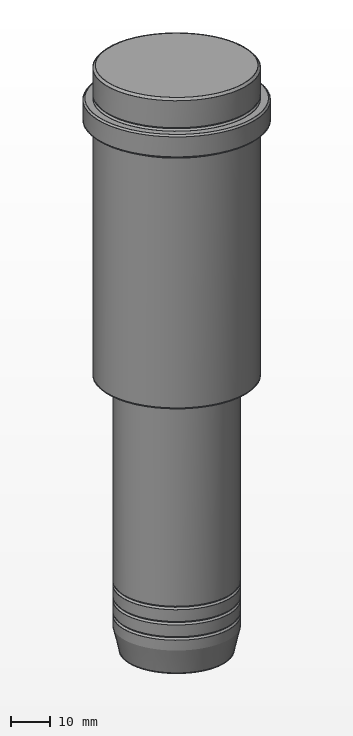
import cadquery as cq

total_length = 160.0
edge_break = 0.5
top_chamfer = 0.6
tip_chamfer = 0.3

collar_diameter = 47.0
body_diameter = 42.0
pin_diameter = 32.0
tip_diameter = 28.8

body_bottom = 75.0
collar_bottom = 144.6
collar_top = 151.0
nose_height = 7.0

relief_width = 1.0
relief_depth = 0.5
tip_groove_half_width = 0.5
tip_groove_heights = (10.4, 14.5, 18.7)


def cylinder(diameter, bottom, top):
    return cq.Workplane("XY").workplane(offset=bottom).circle(diameter / 2).extrude(top - bottom)


def ring_groove(diameter, depth, bottom, width):
    """Ring that cuts a square groove into a cylinder of the given diameter."""
    return cylinder(diameter, bottom, bottom + width).cut(
        cylinder(diameter - 2 * depth, bottom, bottom + width)
    )


def vee_groove(diameter, half_width, height):
    """Ring that cuts a 90 degree V groove into a cylinder of the given diameter."""
    radius = diameter / 2
    return (
        cq.Workplane("XZ")
        .moveTo(radius, height - half_width)
        .lineTo(radius + half_width, height)
        .lineTo(radius, height + half_width)
        .lineTo(radius - half_width, height)
        .close()
        .revolve(360, (0, 0, 0), (0, 1, 0))
    )


def make_pin():
    """Pin with a conical nose and a small chamfer at its end."""
    pin_radius = pin_diameter / 2
    tip_radius = tip_diameter / 2
    pin = (
        cq.Workplane("XZ")
        .lineTo(tip_radius - tip_chamfer, 0)
        .lineTo(tip_radius, tip_chamfer)
        .lineTo(pin_radius, nose_height)
        .lineTo(pin_radius, body_bottom)
        .lineTo(0, body_bottom)
        .close()
        .revolve(360, (0, 0, 0), (0, 1, 0))
    )
    for height in tip_groove_heights:
        pin = pin.cut(vee_groove(pin_diameter, tip_groove_half_width, height))
    return pin.cut(ring_groove(pin_diameter, relief_depth, body_bottom - relief_width, relief_width))


def make_body():
    """Main cylinder with V grooves against both faces of the collar."""
    body = cylinder(body_diameter, body_bottom, total_length)
    body = body.faces(">Z").edges().chamfer(top_chamfer)
    body = body.faces("<Z").edges().chamfer(edge_break)
    for height in (collar_bottom - relief_width / 2, collar_top + relief_width / 2):
        body = body.cut(vee_groove(body_diameter, relief_width / 2, height))
    return body


def make_collar():
    return cylinder(collar_diameter, collar_bottom, collar_top).edges("%CIRCLE").chamfer(edge_break)


result = make_body().union(make_collar()).union(make_pin())